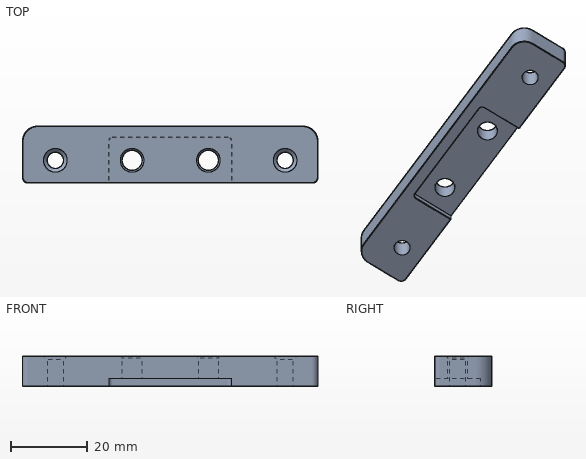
import cadquery as cq

LENGTH = 77.5
WIDTH = 15.0
HEIGHT = 8.0
BACK_CORNER_RADIUS = 4.0
FRONT_CORNER_RADIUS = 1.5
EDGE_CHAMFER = 0.15

HOLE_ROW_FROM_FRONT = 6.0
INNER_HOLE_SPACING = 20.0
OUTER_HOLE_SPACING = 60.25
INNER_HOLE_DIAMETER = 5.2
OUTER_HOLE_DIAMETER = 4.2
HOLE_MOUTH_DIAMETER = 6.2

RECESS_LENGTH = 32.0
RECESS_HEIGHT = 2.0
RECESS_DEPTH = 12.0
RECESS_CORNER_RADIUS = 1.0

FRONT_Y = -WIDTH / 2
HOLE_ROW_Y = FRONT_Y + HOLE_ROW_FROM_FRONT


def make_recess():
    """Cutter for the underside recess, rounded at its two inner corners."""
    recess = cq.Workplane("XY").box(
        RECESS_LENGTH, RECESS_DEPTH, RECESS_HEIGHT, centered=(True, False, False)
    )
    recess = recess.edges("|Z and >Y").fillet(RECESS_CORNER_RADIUS)
    return recess.translate((0, FRONT_Y, 0))


def make_bar():
    """Recessed bar with large back corners, small front corners and broken top and bottom rims."""
    bar = cq.Workplane("XY").box(LENGTH, WIDTH, HEIGHT, centered=(True, True, False))
    bar = bar.edges("|Z and >Y").fillet(BACK_CORNER_RADIUS)
    bar = bar.edges("|Z and <Y").fillet(FRONT_CORNER_RADIUS)
    bar = bar.cut(make_recess())
    return bar.faces("<Z or >Z").edges().chamfer(EDGE_CHAMFER)


def make_hole(x, diameter):
    """Cutter for a through hole with a 45 degree countersink at the top."""
    sink_depth = (HOLE_MOUTH_DIAMETER - diameter) / 2
    hole = cq.Workplane("XY").circle(diameter / 2).extrude(HEIGHT)
    sink = (
        cq.Workplane("XY", origin=(0, 0, HEIGHT))
        .circle(HOLE_MOUTH_DIAMETER / 2)
        .workplane(offset=-sink_depth)
        .circle(diameter / 2)
        .loft(ruled=True)
    )
    return hole.union(sink).translate((x, HOLE_ROW_Y, 0))


result = make_bar()
for side in (-1, 1):
    result = result.cut(make_hole(side * INNER_HOLE_SPACING / 2, INNER_HOLE_DIAMETER))
    result = result.cut(make_hole(side * OUTER_HOLE_SPACING / 2, OUTER_HOLE_DIAMETER))